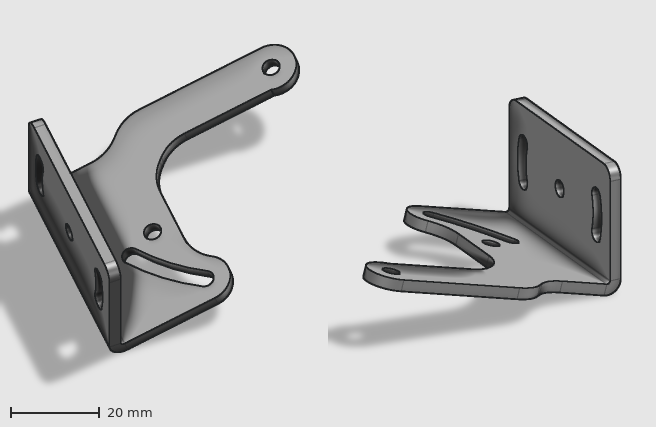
import cadquery as cq
import math

thickness = 2.8
bend_radius = 3.5
inner_radius = bend_radius - thickness
tilt = 15

plate_width = 47.6
plate_height = 31.0
corner_radius = 3.15
hole_diameter = 4.0
plate_hole = (plate_width / 2, 17.15)
plate_slot_radius = 17.8
plate_slot_half_angle = 15

arm_offset = 7.0
arm_width = 11.3
lobe_radius = 5.85
blend_radius = 10.0
inner_diagonal = 1.1
overall_depth = 65.9
arm_left = -arm_offset
arm_right = arm_left + arm_width
tilt_rad = math.radians(tilt)
arm_reach = (overall_depth - bend_radius * (1 + math.sin(tilt_rad))) / math.cos(tilt_rad)
pivot = (arm_left + lobe_radius, arm_reach - lobe_radius)
shoulder = 22.8
jog_start = 15.95
arm_hole = (24.05, 17.15)
slot_lobe = (plate_width - lobe_radius, shoulder)
arm_slot_span = 20


def polar(center, radius, degrees):
    angle = math.radians(degrees)
    return (center[0] + radius * math.cos(angle), center[1] + radius * math.sin(angle))


def arc_slot(plane, center, radius, start, end, depth):
    """Round-ended slot cutter following an arc about center."""
    half = hole_diameter / 2
    middle = (start + end) / 2
    return (
        cq.Workplane(plane)
        .moveTo(*polar(center, radius + half, start))
        .threePointArc(polar(center, radius + half, middle), polar(center, radius + half, end))
        .tangentArcPoint(polar(center, radius - half, end), relative=False)
        .threePointArc(polar(center, radius - half, middle), polar(center, radius - half, start))
        .tangentArcPoint(polar(center, radius + half, start), relative=False)
        .close()
        .extrude(depth)
    )


def make_upright_plate():
    plane = cq.Plane((0, thickness, 0), (1, 0, 0), (0, -1, 0))
    plate = (
        cq.Workplane(plane)
        .moveTo(0, bend_radius)
        .lineTo(plate_width, bend_radius)
        .lineTo(plate_width, plate_height)
        .lineTo(0, plate_height)
        .close()
        .extrude(thickness)
        .edges("|Y and >Z")
        .fillet(corner_radius)
    )
    hole = cq.Workplane(plane).center(*plate_hole).circle(hole_diameter / 2).extrude(thickness)
    plate = plate.cut(hole)
    for direction in (0, 180):
        start = direction - plate_slot_half_angle
        end = direction + plate_slot_half_angle
        plate = plate.cut(arc_slot(plane, plate_hole, plate_slot_radius, start, end, thickness))
    return plate


def make_bend():
    def bend_point(radius, degrees):
        return polar((bend_radius, bend_radius), radius, degrees)

    start = 180
    end = 270 + tilt
    middle = (start + end) / 2
    return (
        cq.Workplane("YZ")
        .moveTo(*bend_point(bend_radius, start))
        .threePointArc(bend_point(bend_radius, middle), bend_point(bend_radius, end))
        .lineTo(*bend_point(inner_radius, end))
        .threePointArc(bend_point(inner_radius, middle), bend_point(inner_radius, start))
        .close()
        .extrude(plate_width)
    )


def make_arm_plate():
    normal = (0, -math.sin(tilt_rad), math.cos(tilt_rad))
    origin = (0, bend_radius - bend_radius * normal[1], bend_radius - bend_radius * normal[2])
    plane = cq.Plane(origin, (1, 0, 0), normal)

    jog_trim = blend_radius * math.tan(math.radians(22.5))
    jog_trim_diagonal = jog_trim * math.sqrt(0.5)
    jog_end = jog_start + arm_offset

    lobe_meets_arm = pivot[1] - math.sqrt(lobe_radius**2 - (arm_right - pivot[0]) ** 2)

    inner_shift = inner_diagonal * math.sqrt(0.5)
    upper_center = (arm_right + blend_radius, shoulder + blend_radius + inner_shift)
    lower_center = (arm_right + blend_radius + inner_shift, shoulder + blend_radius)

    center_distance = lobe_radius + blend_radius
    reverse_run = math.sqrt(center_distance**2 - blend_radius**2)
    reverse_start = (slot_lobe[0] - reverse_run, shoulder)
    lobe_tangent_angle = 180 - math.degrees(math.asin(blend_radius / center_distance))

    arm = (
        cq.Workplane(plane)
        .lineTo(0, jog_start - jog_trim)
        .tangentArcPoint((-jog_trim_diagonal, jog_start + jog_trim_diagonal), relative=False)
        .lineTo(arm_left + jog_trim_diagonal, jog_end - jog_trim_diagonal)
        .tangentArcPoint((arm_left, jog_end + jog_trim), relative=False)
        .lineTo(arm_left, pivot[1])
        .threePointArc(polar(pivot, lobe_radius, 90), (arm_right, lobe_meets_arm))
        .lineTo(arm_right, upper_center[1])
        .tangentArcPoint(polar(upper_center, blend_radius, 225), relative=False)
        .lineTo(*polar(lower_center, blend_radius, 225))
        .tangentArcPoint((lower_center[0], shoulder), relative=False)
        .lineTo(*reverse_start)
        .tangentArcPoint(polar(slot_lobe, lobe_radius, lobe_tangent_angle), relative=False)
        .tangentArcPoint(polar(slot_lobe, lobe_radius, 0), relative=False)
        .lineTo(plate_width, 0)
        .close()
        .extrude(thickness)
    )
    holes = cq.Workplane(plane).pushPoints([pivot, arm_hole]).circle(hole_diameter / 2).extrude(thickness)

    run = slot_lobe[0] - pivot[0]
    drop = slot_lobe[1] - pivot[1]
    slot_end = math.degrees(math.atan2(drop, run))
    slot = arc_slot(plane, pivot, math.hypot(run, drop), slot_end - arm_slot_span, slot_end, thickness)
    return arm.cut(holes).cut(slot)


result = make_upright_plate().union(make_bend(), clean=False).union(make_arm_plate(), clean=False)